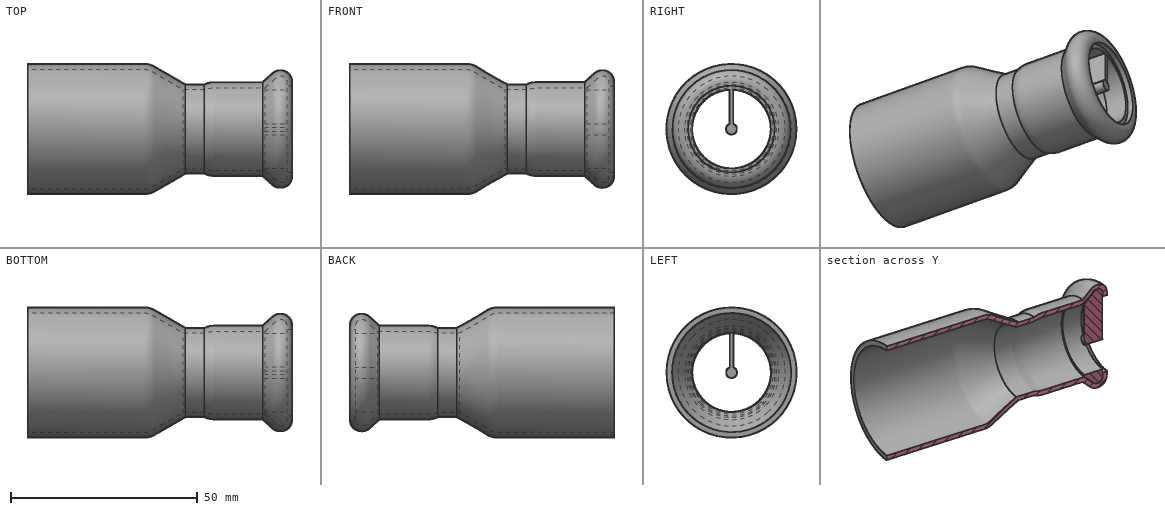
import cadquery as cq
import math

length = 71.0
spigot_radius = 35.0 / 2
spigot_bore_radius = 32.0 / 2
neck_radius = 24.0 / 2
neck_bore_radius = 10.65
socket_radius = 25.3 / 2
socket_bore_radius = 22.2 / 2
mouth_radius = 23.2 / 2
wall = spigot_radius - spigot_bore_radius

spigot_end = 31.5
neck_end = 47.4
socket_start = 50.05
flare_start = 63.05

shoulder_bend = 4.7
cone_angle = math.radians(30)

bead_radius = 3.2
groove_radius = bead_radius - wall
bead_x = length - bead_radius
flare_angle = math.asin(bead_radius / (bead_x - flare_start))

seal_bore_radius = 21.0 / 2
hub_radius = 1.5
stem_width = 1.1


def arc_point(center_x, center_r, radius, angle):
    """Point (x, r) on a circle, with the angle measured from +X toward +r."""
    return (center_x + radius * math.cos(angle), center_r + radius * math.sin(angle))


def cone_foot(point, foot_radius):
    """X where the shoulder cone through the point comes down to foot_radius."""
    return point[0] + (point[1] - foot_radius) / math.tan(cone_angle)


def step_middle(low_radius, high_radius):
    """Middle point of the arc that rises from the neck and runs tangent into the socket."""
    span = socket_start - neck_end
    rise = high_radius - low_radius
    radius = (span**2 + rise**2) / (2 * rise)
    drop = radius - math.sqrt(radius**2 - (span / 2) ** 2)
    return ((neck_end + socket_start) / 2, high_radius - drop)


bend_center_r = spigot_radius - shoulder_bend
bend_finish = math.pi / 2 - cone_angle
bend_middle = math.pi / 2 - cone_angle / 2
bend_bore = shoulder_bend - wall
outer_bend_end = arc_point(spigot_end, bend_center_r, shoulder_bend, bend_finish)
inner_bend_end = arc_point(spigot_end, bend_center_r, bend_bore, bend_finish)
neck_start = cone_foot(outer_bend_end, neck_radius)
neck_bore_start = cone_foot(inner_bend_end, neck_bore_radius)

flare_tangent = math.pi / 2 + flare_angle
bead_middle = flare_tangent / 2
outer_flare_end = arc_point(bead_x, socket_radius, bead_radius, flare_tangent)
inner_flare_end = arc_point(bead_x, socket_radius, groove_radius, flare_tangent)
inner_flare_rise = inner_flare_end[1] - socket_bore_radius
inner_flare_start = inner_flare_end[0] - inner_flare_rise / math.tan(flare_angle)
lip_x = bead_x + groove_radius


def make_fitting():
    profile = (
        cq.Workplane("XY")
        .moveTo(0, spigot_bore_radius)
        .lineTo(0, spigot_radius)
        .lineTo(spigot_end, spigot_radius)
        .threePointArc(arc_point(spigot_end, bend_center_r, shoulder_bend, bend_middle), outer_bend_end)
        .lineTo(neck_start, neck_radius)
        .lineTo(neck_end, neck_radius)
        .threePointArc(step_middle(neck_radius, socket_radius), (socket_start, socket_radius))
        .lineTo(flare_start, socket_radius)
        .lineTo(*outer_flare_end)
        .threePointArc(arc_point(bead_x, socket_radius, bead_radius, bead_middle), (length, socket_radius))
        .lineTo(length, mouth_radius)
        .lineTo(lip_x, mouth_radius)
        .lineTo(lip_x, socket_radius)
        .threePointArc(arc_point(bead_x, socket_radius, groove_radius, bead_middle), inner_flare_end)
        .lineTo(inner_flare_start, socket_bore_radius)
        .lineTo(socket_start, socket_bore_radius)
        .threePointArc(step_middle(neck_bore_radius, socket_bore_radius), (neck_end, neck_bore_radius))
        .lineTo(neck_bore_start, neck_bore_radius)
        .lineTo(*inner_bend_end)
        .threePointArc(
            arc_point(spigot_end, bend_center_r, bend_bore, bend_middle),
            (spigot_end, spigot_bore_radius),
        )
        .close()
    )
    return profile.revolve(360, (0, 0, 0), (1, 0, 0))


def make_seal():
    """Ring that fills the groove, with a stem running in from it to a round hub on the axis."""
    ring = (
        cq.Workplane("XY")
        .moveTo(inner_flare_start, seal_bore_radius)
        .lineTo(inner_flare_start, socket_bore_radius)
        .lineTo(*inner_flare_end)
        .threePointArc(arc_point(bead_x, socket_radius, groove_radius, bead_middle), (lip_x, socket_radius))
        .lineTo(lip_x, seal_bore_radius)
        .close()
        .revolve(360, (0, 0, 0), (1, 0, 0))
    )
    depth = lip_x - inner_flare_start
    plane = cq.Workplane("YZ", origin=(inner_flare_start, 0, 0))
    hub = plane.circle(hub_radius).extrude(depth)
    stem_top = (seal_bore_radius + socket_bore_radius) / 2
    stem = plane.center(0, stem_top / 2).rect(stem_width, stem_top).extrude(depth)
    return ring.union(stem).union(hub)


fitting = make_fitting()
seal = make_seal()
result = cq.Compound.makeCompound([fitting.val(), seal.val()])